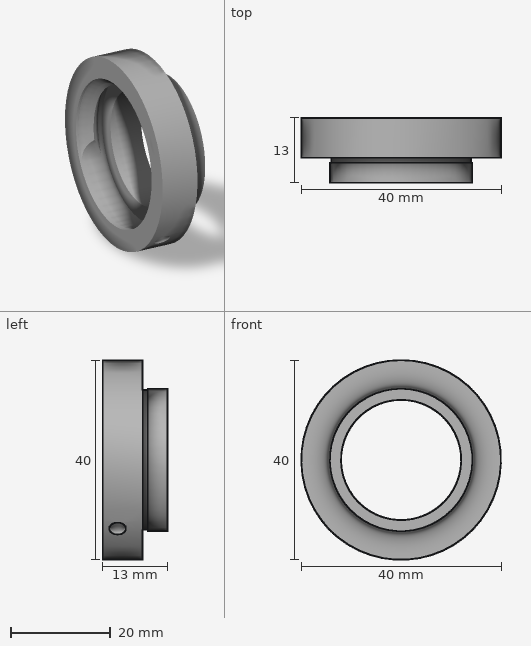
import cadquery as cq

flange_diameter = 40.0
flange_length = 8.0
neck_diameter = 28.0
neck_length = 1.0
spigot_diameter = 28.5
spigot_length = 4.0
bore_diameter = 24.0
counterbore_diameter = 31.0
counterbore_depth = 6.0

screw_hole_diameter = 3.3
screw_hole_setback = 3.0
screw_hole_angle = 223.5

ridge_crest_diameter = 27.2
ridge_front_width = 2.0
ridge_rear_width = 2.4
ridge_span = 140.0
ridge_end_radius = 3.9

spigot_front = 0.0
neck_front = spigot_front + spigot_length
flange_front = neck_front + neck_length
flange_rear = flange_front + flange_length
counterbore_floor = flange_rear - counterbore_depth
screw_y = flange_rear - screw_hole_setback

ridge_start_angle = screw_hole_angle - 180 - ridge_span / 2
ridge_end_angle = ridge_start_angle + ridge_span


def disc(diameter, start, length, x=0.0):
    """Cylinder parallel to the ring axis at the given X, from Y = start towards +Y."""
    return cq.Workplane(
        cq.Solid.makeCylinder(diameter / 2, length, cq.Vector(x, start, 0), cq.Vector(0, 1, 0))
    )


def turn(shape, angle):
    """Turn a shape about the ring axis, from +X towards +Z."""
    return shape.rotate((0, 0, 0), (0, 1, 0), -angle)


def ring_body():
    """Flange, undercut neck and spigot with the stepped bore."""
    flange = disc(flange_diameter, flange_front, flange_length)
    neck = disc(neck_diameter, neck_front, neck_length)
    spigot = disc(spigot_diameter, spigot_front, spigot_length)
    bore = disc(bore_diameter, spigot_front, flange_rear - spigot_front)
    counterbore = disc(counterbore_diameter, counterbore_floor, counterbore_depth)
    return flange.union(neck).union(spigot).cut(bore).cut(counterbore)


def clamping_ridge():
    """Partial V ridge whose two ends run out into the counterbore wall along arcs."""
    crest_radius = ridge_crest_diameter / 2
    wall_radius = counterbore_diameter / 2
    root_radius = (wall_radius + flange_diameter / 2) / 2
    wall_front = screw_y - ridge_front_width
    wall_rear = screw_y + ridge_rear_width
    profile = cq.Workplane("XY").polyline(
        [
            (crest_radius, screw_y),
            (wall_radius, wall_rear),
            (root_radius, wall_rear),
            (root_radius, wall_front),
            (wall_radius, wall_front),
        ]
    ).close()
    ridge = turn(profile.revolve(ridge_span, (0, 0, 0), (0, -1, 0)), ridge_start_angle)
    run_out_offset = wall_radius - ridge_end_radius
    for end_angle in (ridge_start_angle, ridge_end_angle):
        run_out = disc(2 * ridge_end_radius, counterbore_floor, counterbore_depth, run_out_offset)
        ridge = ridge.cut(turn(run_out, end_angle))
    return ridge


def screw_hole():
    """Radial hole from the ring axis out through the flange wall."""
    cylinder = cq.Solid.makeCylinder(
        screw_hole_diameter / 2, flange_diameter, cq.Vector(0, screw_y, 0), cq.Vector(1, 0, 0)
    )
    return turn(cq.Workplane(cylinder), screw_hole_angle)


result = ring_body().union(clamping_ridge()).cut(screw_hole())